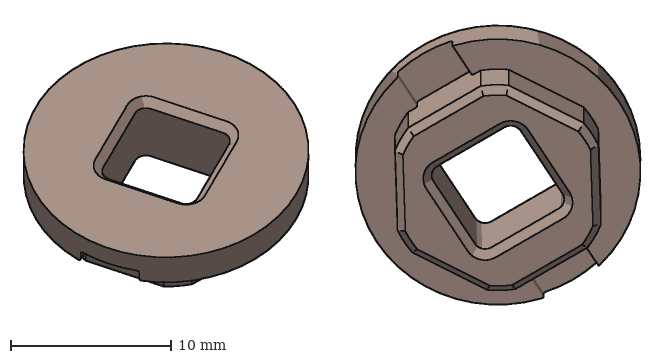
import cadquery as cq
import math

flange_diameter = 17.78
flange_thickness = 2.36

total_height = 5.55
hex_across_flats = 12.7
corner_diameter = 13.76
boss_chamfer = 0.5

hole_side = 6.4
hole_corner_radius = 0.75
hole_chamfer = 0.53

notch_width = 4.0
notch_height = 0.9
notch_edge_radius = 0.18

boss_height = total_height - flange_thickness
flange_radius = flange_diameter / 2


def make_flange():
    return cq.Workplane("XY").workplane(offset=boss_height).circle(flange_radius).extrude(flange_thickness)


def make_boss():
    hex_across_corners = hex_across_flats / math.cos(math.pi / 6)
    hexagon = cq.Workplane("XY").polygon(6, hex_across_corners).extrude(boss_height)
    corner_cylinder = cq.Workplane("XY").circle(corner_diameter / 2).extrude(boss_height)
    return hexagon.intersect(corner_cylinder).faces("<Z").chamfer(boss_chamfer)


def make_flare():
    """Rounded square at the top face, tapering inward at 45 degrees to the hole."""
    mouth_side = hole_side + 2 * hole_chamfer
    mouth_radius = hole_corner_radius + hole_chamfer
    mouth = cq.Sketch().rect(mouth_side, mouth_side).vertices().fillet(mouth_radius)
    return cq.Workplane("XY").workplane(offset=total_height).placeSketch(mouth).extrude(-hole_chamfer, taper=45)


def make_hole():
    """Cutter for the square hole, flared at the top and bottom mouths."""
    straight = cq.Workplane("XY").rect(hole_side, hole_side).extrude(total_height)
    straight = straight.edges("|Z").fillet(hole_corner_radius)
    top_flare = make_flare()
    bottom_flare = top_flare.mirror("XY", (0, 0, total_height / 2))
    return straight.union(top_flare).union(bottom_flare)


def make_notch():
    """Notch on the -Y side: rounded upper corners, and lower corners flaring outward."""
    r = notch_edge_radius
    diagonal = r * math.sqrt(0.5)
    half_width = notch_width / 2
    top = boss_height + notch_height
    profile = (
        cq.Workplane("XZ", origin=(0, -hex_across_flats / 2, 0))
        .moveTo(-half_width - r, boss_height)
        .threePointArc(
            (-half_width - r + diagonal, boss_height + r - diagonal),
            (-half_width, boss_height + r),
        )
        .lineTo(-half_width, top - r)
        .threePointArc((-half_width + r - diagonal, top - r + diagonal), (-half_width + r, top))
        .lineTo(0, top)
        .lineTo(0, boss_height)
        .close()
    )
    half_notch = profile.extrude(flange_radius - hex_across_flats / 2)
    return half_notch.union(half_notch.mirror("YZ"))


notch = make_notch()
body = make_flange().union(make_boss())
result = body.cut(notch).cut(notch.mirror("XZ")).cut(make_hole())